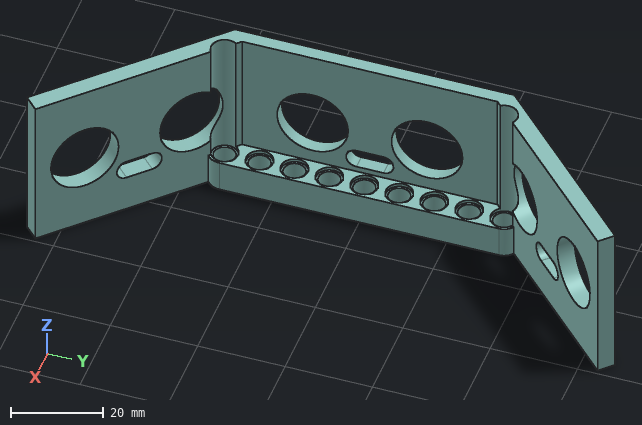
import cadquery as cq

height = 38.0
center_length = 64.0
center_thickness = 3.25
wing_length = 50.0
wing_thickness = 4.25
wing_angle = 45.0

window_diameter = 16.2
window_spacing = 26.2
window_z = height / 2
slot_length = 10.8
slot_height = 4.6
slot_drop = 7.5
cutter_overrun = 2.0
cutter_length = wing_thickness + 2 * cutter_overrun

rail_width = 7.3
rail_height = 7.8
rail_x = 6.8
hole_pitch = 8.0
hole_count = 9
hole_diameter = 5.0
counterbore_diameter = 6.1
counterbore_depth = 0.8

half_length = center_length / 2


def make_center_plate():
    return cq.Workplane("XY").box(
        center_thickness, center_length, height, centered=(False, True, False)
    )


def to_wing(shape, side):
    """Move a shape lying along Y from the origin onto the wing at the +Y (1) or -Y (-1) end."""
    folded = shape.rotate((0, 0, 0), (0, 0, 1), -side * wing_angle)
    return folded.translate((0, side * half_length, 0))


def make_wing(side):
    wing = cq.Workplane("XY").box(
        wing_thickness, wing_length, height, centered=(False, True, False)
    )
    return to_wing(wing.translate((0, side * wing_length / 2, 0)), side)


def make_panel_cutter():
    """Windows and slot centered on Y = 0, cutting through a panel whose outer face is at X = 0."""
    face = cq.Workplane("YZ", origin=(-cutter_overrun, 0, window_z))
    windows = (
        face.pushPoints([(-window_spacing / 2, 0), (window_spacing / 2, 0)])
        .circle(window_diameter / 2)
        .extrude(cutter_length)
    )
    slot = (
        face.center(0, -slot_drop)
        .slot2D(slot_length, slot_height)
        .extrude(cutter_length)
    )
    return windows.union(slot)


def make_rail():
    return (
        cq.Workplane("XY", origin=(rail_x, 0, 0))
        .slot2D(center_length + rail_width, rail_width, 90)
        .extrude(rail_height)
    )


def make_rail_holes():
    """Through holes with counterbores that run on upward as clearance past the panels."""
    row = cq.Workplane("XY", origin=(rail_x, 0, 0)).rarray(1, hole_pitch, 1, hole_count)
    bores = row.circle(hole_diameter / 2).extrude(height)
    counterbores = row.circle(counterbore_diameter / 2).extrude(height)
    counterbore_floor = rail_height - counterbore_depth
    return bores.union(counterbores.translate((0, 0, counterbore_floor)))


panel_cutter = make_panel_cutter()
body = make_center_plate().cut(panel_cutter)
for side in (-1, 1):
    wing_cutter = panel_cutter.translate((0, side * wing_length / 2, 0))
    body = body.union(make_wing(side).cut(to_wing(wing_cutter, side)))

result = body.union(make_rail()).cut(make_rail_holes())